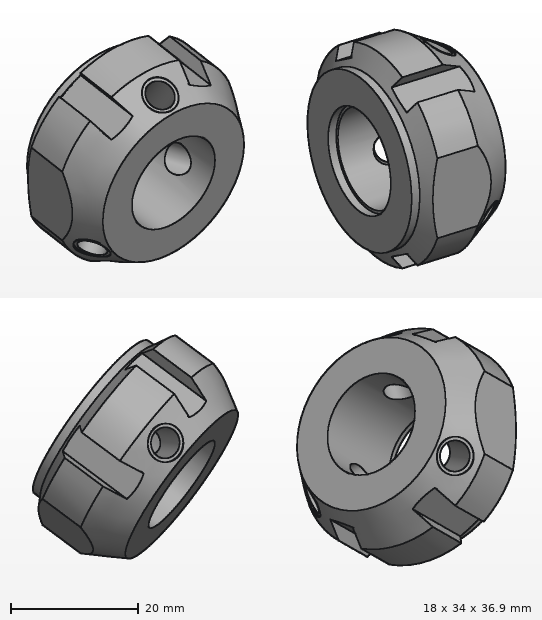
import cadquery as cq
import math

LENGTH = 18.0
OUTER_RADIUS = 18.45
COLLAR_RADIUS = 30.0 / 2
COLLAR_LENGTH = 1.5
REAR_CONE_START = 11.1
CONE_ANGLE = math.radians(30)
WIDTH_ACROSS_FLATS = 34.0

BORE_RADIUS = 17.0 / 2
RECESS_RADIUS = 18.0 / 2
RECESS_DEPTH = 1.5

SLOT_WIDTH = 5.0
SLOT_FLOOR = 16.0
SLOT_ANGLES = (30, 150, 210, 330)

SCREW_RADIUS = 4.9 / 2
SCREW_RECESS_RADIUS = 6.1 / 2
SCREW_RECESS_DEPTH = 0.3
SCREW_X = 14.85
SCREW_ANGLES = (0, 120, 240)


def make_body():
    front_cone_length = (OUTER_RADIUS - COLLAR_RADIUS) * math.tan(CONE_ANGLE)
    rear_radius = OUTER_RADIUS - (LENGTH - REAR_CONE_START) * math.tan(CONE_ANGLE)
    turned = (
        cq.Workplane("XZ")
        .polyline([
            (0, 0),
            (0, COLLAR_RADIUS),
            (COLLAR_LENGTH, COLLAR_RADIUS),
            (COLLAR_LENGTH + front_cone_length, OUTER_RADIUS),
            (REAR_CONE_START, OUTER_RADIUS),
            (LENGTH, rear_radius),
            (LENGTH, 0),
        ])
        .close()
        .revolve(360, (0, 0, 0), (1, 0, 0))
    )
    flats = cq.Workplane("XY").box(
        LENGTH, WIDTH_ACROSS_FLATS, 2 * OUTER_RADIUS, centered=(False, True, True)
    )
    return turned.intersect(flats)


def make_bore():
    bore = cq.Workplane("YZ").circle(BORE_RADIUS).extrude(LENGTH)
    recess = cq.Workplane("YZ").circle(RECESS_RADIUS).extrude(RECESS_DEPTH)
    return bore.union(recess)


def make_slot():
    """Slot cutter at the top of the nut, open at both ends."""
    return (
        cq.Workplane("XY")
        .workplane(offset=SLOT_FLOOR)
        .rect(2 * LENGTH, SLOT_WIDTH)
        .extrude(OUTER_RADIUS)
    )


def make_screw_hole():
    """Recessed hole cutter through the top of the rear cone into the bore."""
    surface_radius = OUTER_RADIUS - (SCREW_X - REAR_CONE_START) * math.tan(CONE_ANGLE)
    depth = surface_radius / math.cos(CONE_ANGLE)
    outward = (math.sin(CONE_ANGLE), 0, math.cos(CONE_ANGLE))
    mouth = cq.Workplane(cq.Plane((SCREW_X, 0, surface_radius), (0, 1, 0), outward))
    hole = mouth.circle(SCREW_RADIUS).extrude(-depth)
    recess = (
        mouth.workplane(offset=-SCREW_RECESS_DEPTH)
        .circle(SCREW_RECESS_RADIUS)
        .extrude(2 * SCREW_RECESS_RADIUS)
    )
    return hole.union(recess)


def turn_about_axis(cutter, angle):
    return cutter.rotate((0, 0, 0), (1, 0, 0), angle)


result = make_body().cut(make_bore())
for slot_angle in SLOT_ANGLES:
    result = result.cut(turn_about_axis(make_slot(), slot_angle))
for screw_angle in SCREW_ANGLES:
    result = result.cut(turn_about_axis(make_screw_hole(), screw_angle))